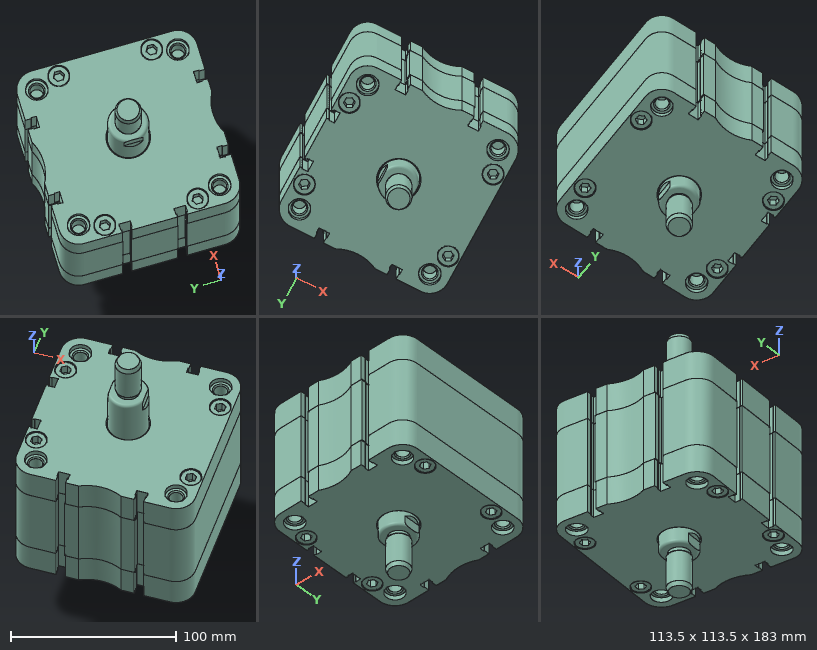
import cadquery as cq


SIDE = 113.5
CORNER_RADIUS = 12.3
HOLLOW_WIDTH = 26.9
HOLLOW_DEPTH = 3.3

CAP_HEIGHT = 19.5
BARREL_HEIGHT = 48.1
HOUSING_HEIGHT = BARREL_HEIGHT + 2 * CAP_HEIGHT
TOTAL_LENGTH = 183.0
ROD_BELOW = 37.9

BARREL_MOUTH_WIDTH = 5.5
CAP_MOUTH_WIDTH = 6.0
HEAD_OVERHANG = 0.5
SIDE_SLOT_OUTER_EDGE = 27.8
SIDE_SLOT_LIP = 3.8
SIDE_SLOT_DEPTH = 7.1
BACK_SLOT_OFFSET = 17.4
BACK_SLOT_LIP = 1.8
BACK_SLOT_DEPTH = 5.7

CAP_BORE_DIAMETER = 25.6
CAP_BORE_RIM_DIAMETER = 26.9
CAP_BORE_CHAMFER = (CAP_BORE_RIM_DIAMETER - CAP_BORE_DIAMETER) / 2
MOUNT_OFFSET = 44.5
MOUNT_BORE_DIAMETER = 13.5
MOUNT_BORE_DEPTH = 3.3
MOUNT_THREAD_DIAMETER = 10.0
MOUNT_HOLE_DIAMETER = 8.5
MOUNT_HOLE_DEPTH = 14.6
MOUNT_CHAMFER = (MOUNT_THREAD_DIAMETER - MOUNT_HOLE_DIAMETER) / 2
SCREW_X = 49.0
SCREW_Y = 29.3
SCREW_RING_DIAMETER = 13.2
SCREW_HEAD_DIAMETER = 12.6
SCREW_HEAD_SINK = 0.5
SCREW_RING_DEPTH = 1.5
SOCKET_ACROSS_CORNERS = 7.0
SOCKET_DEPTH = 6.4

ROD_DIAMETER = 25.0
THREAD_DIAMETER = 16.0
NECK_DIAMETER = 14.0
TIP_DIAMETER = 13.5
STUD_LENGTH = 27.8
NECK_LENGTH = 2.5
THREAD_START_CHAMFER = 0.4
TIP_CHAMFER_LENGTH = 3.0
SHOULDER_ROUND = 2.0
FLATS_ACROSS = 22.0
FLATS_LENGTH = 7.1

SIGNS = (-1, 1)


def square_profile(height):
    """Rounded square prism with a shallow hollow along two opposite faces."""
    half = SIDE / 2
    prism = cq.Workplane("XY").rect(SIDE, SIDE).extrude(height).edges("|Z").fillet(CORNER_RADIUS)
    for sign in SIGNS:
        hollow = (
            cq.Workplane("XY")
            .moveTo(-HOLLOW_WIDTH / 2, sign * half)
            .threePointArc((0, sign * (half - HOLLOW_DEPTH)), (HOLLOW_WIDTH / 2, sign * half))
            .close()
            .extrude(height)
        )
        prism = prism.cut(hollow)
    return prism


def slot_cutter(mouth_width, lip, depth, height):
    """T-shaped slot that goes from the face X = 0 toward +X, centred on Y = 0."""
    head_width = mouth_width + 2 * HEAD_OVERHANG
    mouth = cq.Workplane("XY").box(depth, mouth_width, height, centered=(False, True, False))
    head = cq.Workplane("XY").box(depth - lip, head_width, height, centered=(False, True, False))
    return mouth.union(head.translate((lip, 0, 0)))


def cut_slots(prism, mouth_width, height):
    """Cut two slots in each of the +Y and -Y faces and two in the -X face."""
    half = SIDE / 2
    side_slot_x = SIDE_SLOT_OUTER_EDGE - mouth_width / 2
    side_slot = slot_cutter(mouth_width, SIDE_SLOT_LIP, SIDE_SLOT_DEPTH, height)
    back_slot = slot_cutter(mouth_width, BACK_SLOT_LIP, BACK_SLOT_DEPTH, height)
    for sign in SIGNS:
        turned_slot = side_slot.rotate((0, 0, 0), (0, 0, 1), -90 * sign)
        for x_sign in SIGNS:
            prism = prism.cut(turned_slot.translate((x_sign * side_slot_x, sign * half, 0)))
        prism = prism.cut(back_slot.translate((-half, sign * BACK_SLOT_OFFSET, 0)))
    return prism


def corner_points(x, y):
    return [(x_sign * x, y_sign * y) for x_sign in SIGNS for y_sign in SIGNS]


def make_barrel():
    barrel = cut_slots(square_profile(BARREL_HEIGHT), BARREL_MOUTH_WIDTH, BARREL_HEIGHT)
    rod_hole = cq.Workplane("XY").circle(ROD_DIAMETER / 2).extrude(BARREL_HEIGHT)
    return barrel.cut(rod_hole).translate((0, 0, CAP_HEIGHT))


def mount_hole_cutter():
    """Stepped hole below Z = 0: counterbore, thread chamfer and blind core hole."""
    bore_floor = -MOUNT_BORE_DEPTH
    return (
        cq.Workplane("XZ")
        .moveTo(0, 0)
        .lineTo(MOUNT_BORE_DIAMETER / 2, 0)
        .lineTo(MOUNT_BORE_DIAMETER / 2, bore_floor)
        .lineTo(MOUNT_THREAD_DIAMETER / 2, bore_floor)
        .lineTo(MOUNT_HOLE_DIAMETER / 2, bore_floor - MOUNT_CHAMFER)
        .lineTo(MOUNT_HOLE_DIAMETER / 2, -MOUNT_HOLE_DEPTH)
        .lineTo(0, -MOUNT_HOLE_DEPTH)
        .close()
        .revolve(360, (0, 0), (0, 1))
    )


def screw_head_cutter():
    """Sunk round head below Z = 0, with a ring groove around it and a hexagon socket."""
    pocket = cq.Workplane("XY").circle(SCREW_RING_DIAMETER / 2).extrude(-SCREW_RING_DEPTH)
    head_height = SCREW_RING_DEPTH - SCREW_HEAD_SINK
    head = (
        cq.Workplane("XY", origin=(0, 0, -SCREW_RING_DEPTH))
        .circle(SCREW_HEAD_DIAMETER / 2)
        .extrude(head_height)
    )
    socket = cq.Workplane("XY").polygon(6, SOCKET_ACROSS_CORNERS).extrude(-SOCKET_DEPTH)
    return pocket.cut(head).union(socket.rotate((0, 0, 0), (0, 0, 1), 90))


def make_cap():
    """End cap with its outer face up, standing on Z = 0."""
    cap = cut_slots(square_profile(CAP_HEIGHT), CAP_MOUTH_WIDTH, CAP_HEIGHT)
    bore = cq.Workplane("XY").circle(CAP_BORE_DIAMETER / 2).extrude(CAP_HEIGHT)
    rim_cone = cq.Solid.makeCone(
        CAP_BORE_DIAMETER / 2, CAP_BORE_RIM_DIAMETER / 2, CAP_BORE_CHAMFER
    ).translate((0, 0, CAP_HEIGHT - CAP_BORE_CHAMFER))
    cap = cap.cut(bore).cut(cq.Workplane(rim_cone))
    for x, y in corner_points(MOUNT_OFFSET, MOUNT_OFFSET):
        cap = cap.cut(mount_hole_cutter().translate((x, y, CAP_HEIGHT)))
    for x, y in corner_points(SCREW_X, SCREW_Y):
        cap = cap.cut(screw_head_cutter().translate((x, y, CAP_HEIGHT)))
    return cap


def make_stud():
    """Necked and chamfered thread that stands on Z = 0."""
    neck_radius = NECK_DIAMETER / 2
    thread_radius = THREAD_DIAMETER / 2
    return (
        cq.Workplane("XZ")
        .moveTo(0, 0)
        .lineTo(neck_radius, 0)
        .lineTo(neck_radius, NECK_LENGTH)
        .lineTo(thread_radius, NECK_LENGTH + THREAD_START_CHAMFER)
        .lineTo(thread_radius, STUD_LENGTH - TIP_CHAMFER_LENGTH)
        .lineTo(TIP_DIAMETER / 2, STUD_LENGTH)
        .lineTo(0, STUD_LENGTH)
        .close()
        .revolve(360, (0, 0), (0, 1))
    )


def flat_cutter():
    """Wedge-ended block for the +X wrench flat below a shoulder at Z = 0."""
    flat_x = FLATS_ACROSS / 2
    outer_x = ROD_DIAMETER / 2
    return (
        cq.Workplane("XZ")
        .moveTo(flat_x, 0)
        .lineTo(outer_x, 0)
        .lineTo(outer_x, -FLATS_LENGTH - (outer_x - flat_x))
        .lineTo(flat_x, -FLATS_LENGTH)
        .close()
        .extrude(ROD_DIAMETER / 2, both=True)
    )


def make_rod():
    lower_shoulder = STUD_LENGTH - ROD_BELOW
    shank_length = TOTAL_LENGTH - 2 * STUD_LENGTH
    shank = cq.Workplane("XY").circle(ROD_DIAMETER / 2).extrude(shank_length)
    shank = shank.faces("<Z or >Z").edges().fillet(SHOULDER_ROUND)
    upper_flat = flat_cutter().translate((0, 0, shank_length))
    lower_flat = flat_cutter().mirror("XY")
    for flat in (upper_flat, lower_flat):
        shank = shank.cut(flat).cut(flat.mirror("YZ"))
    upper_stud = make_stud().translate((0, 0, shank_length))
    lower_stud = make_stud().mirror("XY")
    return shank.union(upper_stud).union(lower_stud).translate((0, 0, lower_shoulder))


barrel = make_barrel()
top_cap = make_cap().translate((0, 0, HOUSING_HEIGHT - CAP_HEIGHT))
bottom_cap = make_cap().mirror("XY").translate((0, 0, CAP_HEIGHT))
piston_rod = make_rod()

result = cq.Compound.makeCompound([barrel.val(), top_cap.val(), bottom_cap.val(), piston_rod.val()])